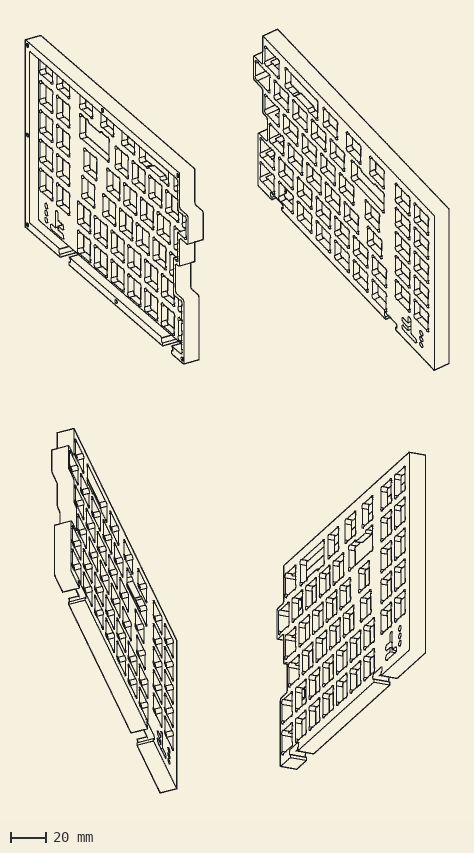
import cadquery as cq
import math

pitch = 19.05
key_size = 14.2
half_key = key_size / 2
half_cell = pitch / 2

edge_columns = [0, 1]
key_columns = [
    [2.25, 3.25, 4.25, 5.25, 6.25, 7.25, 8.25],
    edge_columns + [2.25, 3.25, 4.25, 5.25, 6.25, 7.25, 8.25],
    edge_columns + [2.5, 3.75, 4.75, 5.75, 6.75, 7.75],
    edge_columns + [2.625, 4, 5, 6, 7, 8],
    edge_columns + [4.5, 5.5, 6.5, 7.5, 8.5],
    edge_columns + [2.375, 3.625, 4.875, 8],
]

depth = 10.0
plate_thickness = 4.0
pocket_depth = depth - plate_thickness
border = 4.0
first_key = border + half_cell
height = 2 * border + len(key_columns) * pitch
rail_width = 5.2
left_rail_width = 4.9
main_corner_radius = 0.5
step_corner_radius = 1.5
pocket_corner_radius = 1.0

wide_keys = [(2.8675, 4, 1), (6.421, 5, -1)]
wide_key_width = 32.9
wide_key_middle_width = 14.0
stabilizer_step = 1.0

relief_radius = 1.5
relief_inset = relief_radius / math.sqrt(2)

screw_diameter = 1.2
screw_mouth_diameter = 2.3
screw_depth = 6.0
screw_inset = 2.6
top_screws_x = [87.8, 173.3]
bottom_screws_x = [103.2, 178.2]

notch_centers = [44.8, 161.1]
notch_mouth_width = 10.0
notch_inner_width = 12.9
notch_inner_bottom = 2.0
notch_inner_radius = 1.2

indicator_diameter = 3.2
indicator_spacing = 4.6
indicator_middle_z = 14.05

upright_left = 24.1
upright_width = 3.0
upright_top = 21.4
upright_radius = 1.45
branch_height = 3.4
branch_radius = 1.65
foot_left = 18.3
branch_right = 33.3
foot_z = 8.0
arm_z = 14.05


def key_x(column):
    return first_key + column * pitch


def key_z(row):
    return first_key + row * pitch


def prism(points, start, end):
    """Extrude a polygon in XZ from Y = start to Y = end."""
    return cq.Workplane("XZ", origin=(0, start, 0)).polyline(points).close().extrude(start - end)


def block(left, right, bottom, top, start=0.0, end=depth):
    """Rectangular block between X = left, right and Z = bottom, top."""
    return prism([(left, bottom), (right, bottom), (right, top), (left, top)], start, end)


def cylinders(centers, diameter, start, end):
    """Round bars along Y at the given X, Z centers."""
    plane = cq.Workplane("XZ", origin=(0, start, 0))
    return plane.pushPoints(centers).circle(diameter / 2).extrude(start - end)


def right_side(half_extent):
    """Stepped right side, bottom to top, at a distance from the last key of each row."""
    last_columns = [columns[-1] for columns in key_columns]
    levels = [
        (1, 2, key_z(1) + half_extent),
        (2, 3, key_z(3) - half_extent),
        (3, 4, key_z(4) - half_extent),
        (4, 5, key_z(4) + half_extent),
    ]
    points = []
    for row_below, row_above, z in levels:
        points.append((key_x(last_columns[row_below]) + half_extent, z))
        points.append((key_x(last_columns[row_above]) + half_extent, z))
    return points


def stepped_outline(left, bottom, top, half_extent):
    """Outline with straight left, bottom and top sides and the stepped right side."""
    return [
        (left, bottom),
        (key_x(key_columns[0][-1]) + half_extent, bottom),
        *right_side(half_extent),
        (key_x(key_columns[-1][-1]) + half_extent, top),
        (left, top),
    ]


def body():
    blank = prism(stepped_outline(0, 0, height, half_cell), 0, depth)
    blank = blank.edges("|Y").edges("<X or >Z or <Z").fillet(main_corner_radius)
    step_corners = right_side(half_cell)
    step_edges = cq.selectors.BoxSelector(
        (min(x for x, z in step_corners) - half_key, -depth, step_corners[0][1] - half_key),
        (max(x for x, z in step_corners) + half_key, 2 * depth, step_corners[-1][1] + half_key),
    )
    return blank.edges("|Y").edges(step_edges).fillet(step_corner_radius)


def pocket():
    outline = stepped_outline(left_rail_width, rail_width, height - rail_width, half_key)
    cavity = prism(outline, 0, pocket_depth)
    return cavity.edges("|Y").edges("<X or >Z or <Z").fillet(pocket_corner_radius)


def reliefs(corners):
    """Round reliefs; each corner is X, Z and the directions from it into the opening."""
    centers = [(x + dx * relief_inset, z + dz * relief_inset) for x, z, dx, dz in corners]
    return cylinders(centers, 2 * relief_radius, 0, depth)


def rectangle_corners(left, right, bottom, top):
    return [(left, bottom, 1, 1), (left, top, 1, -1), (right, bottom, -1, 1), (right, top, -1, -1)]


def key_opening():
    """Opening of a single key, centered on the origin of X and Z.

    It runs through the full depth, so the reliefs also groove the walls beside the last keys.
    """
    sides = (-half_key, half_key, -half_key, half_key)
    return block(*sides).union(reliefs(rectangle_corners(*sides)))


def wide_key_opening(x, z, side):
    """Wide opening whose two ends are deeper than its middle on one side."""
    half_width = wide_key_width / 2
    half_middle = wide_key_middle_width / 2
    flat_edge = z - side * half_key
    middle_edge = z + side * half_key
    step_edge = middle_edge + side * stabilizer_step
    bottom, top = sorted([flat_edge, step_edge])
    sides = (x - half_width, x + half_width, bottom, top)
    step = block(x - half_middle, x + half_middle, *sorted([middle_edge, step_edge]), pocket_depth)
    inner_corners = [(x - half_middle, step_edge, -1, -side), (x + half_middle, step_edge, 1, -side)]
    corners = rectangle_corners(*sides) + inner_corners
    return block(*sides, pocket_depth).cut(step).union(reliefs(corners))


def notch(x):
    """Undercut notch through the bottom rail, narrower at its mouth."""
    half_mouth = notch_mouth_width / 2
    half_inner = notch_inner_width / 2
    inner = block(x - half_inner, x + half_inner, notch_inner_bottom, rail_width)
    inner = inner.edges("|Y").fillet(notch_inner_radius)
    return inner.union(block(x - half_mouth, x + half_mouth, 0, rail_width))


def screw_holes():
    top_z = height - screw_inset
    centers = [(screw_inset, screw_inset), (screw_inset, height / 2), (screw_inset, top_z)]
    centers += [(x, top_z) for x in top_screws_x]
    centers += [(x, screw_inset) for x in bottom_screws_x]
    holes = cylinders(centers, screw_diameter, 0, screw_depth)
    bore_radius = screw_diameter / 2
    mouth_radius = screw_mouth_diameter / 2
    mouth_depth = mouth_radius - bore_radius
    inward = cq.Vector(0, 1, 0)
    for x, z in centers:
        mouth_center = cq.Vector(x, 0, z)
        mouth = cq.Solid.makeCone(mouth_radius, bore_radius, mouth_depth, mouth_center, inward)
        holes = holes.union(cq.Workplane(mouth))
    return holes


def indicator_holes():
    centers = [(first_key, indicator_middle_z + i * indicator_spacing) for i in (-1, 0, 1)]
    return cylinders(centers, indicator_diameter, pocket_depth, depth)


def branched_slot():
    half = branch_height / 2
    upright_right = upright_left + upright_width
    upright = block(upright_left, upright_right, foot_z, upright_top, pocket_depth)
    upright = upright.edges("|Y and >Z").fillet(upright_radius)
    foot = block(foot_left, branch_right, foot_z - half, foot_z + half, pocket_depth)
    foot = foot.edges("|Y").fillet(branch_radius)
    arm = block(upright_left, branch_right, arm_z - half, arm_z + half, pocket_depth)
    arm = arm.edges("|Y and >X").fillet(branch_radius)
    return upright.union(foot).union(arm)


cutters = [pocket(), screw_holes(), indicator_holes(), branched_slot()]
cutters += [notch(center) for center in notch_centers]
cutters += [wide_key_opening(key_x(column), key_z(row), side) for column, row, side in wide_keys]
single_opening = key_opening()
for row, columns in enumerate(key_columns):
    cutters += [single_opening.translate((key_x(column), 0, key_z(row))) for column in columns]

solids = [solid for cutter in cutters for solid in cutter.solids().vals()]
result = cq.Workplane(body().val().cut(*solids).clean())